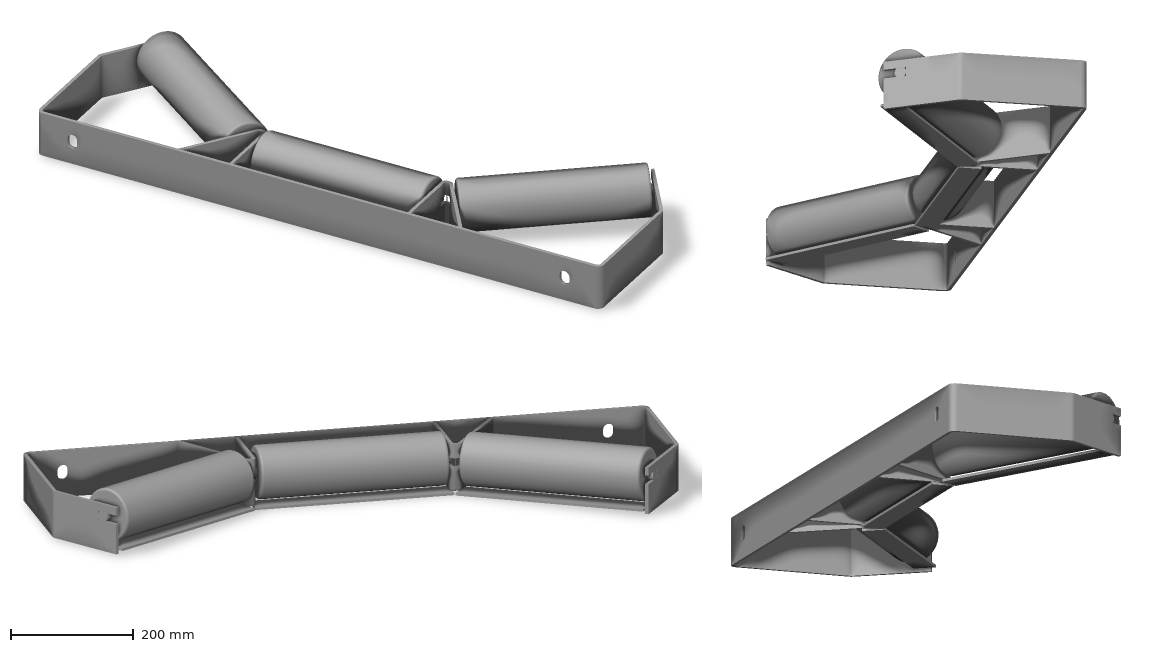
import cadquery as cq
import math


bar_thickness = 6.0
bar_height = 80.0
frame_length = 1050.0
frame_bend_radius = 12.0
wing_bend_y = 212.0
wing_length = 136.0
bracket_top_y = 127.0
bracket_bend_radius = 8.0

mount_slot_x = 458.0
mount_slot_z = 42.0
mount_slot_width = 18.0
mount_slot_length = 25.0

roller_diameter = 89.0
roller_length = 315.0
roller_edge_radius = 4.0
axle_diameter = 20.0
axle_flat_width = 15.0
axle_flat_clearance = 0.5
seat_gap = 325.0

trough_angle = 35.0
tilt_angle = 1.8
middle_axis_y = 99.0
middle_axis_z = 48.0
side_axis_y = 203.0

strip_thickness = 4.0
strip_width = 38.0
strip_inner_reach = 167.0
strip_outer_reach = 161.0

half_length = frame_length / 2
half_gap = seat_gap / 2
half_axle = half_gap + bar_thickness
trough_sin = math.sin(math.radians(trough_angle))
trough_cos = math.cos(math.radians(trough_angle))
tilt = math.radians(tilt_angle)

wing_outer_distance = half_length * trough_cos + wing_bend_y * trough_sin
side_axis_distance = wing_outer_distance - half_axle
slant_outer_distance = side_axis_distance - half_gap
slant_inner_distance = slant_outer_distance - bar_thickness

side_axis_x = -(side_axis_distance - side_axis_y * trough_sin) / trough_cos
side_axis_z = middle_axis_z / math.cos(tilt) + half_gap * math.tan(tilt)


def place_middle(body):
    return body.translate((0, middle_axis_y, middle_axis_z))


def place_left(body):
    tilted = body.rotate((0, 0, 0), (0, 1, 0), tilt_angle)
    troughed = tilted.rotate((0, 0, 0), (0, 0, 1), -trough_angle)
    return troughed.translate((side_axis_x, side_axis_y, side_axis_z))


def place_right(body):
    return place_left(body).mirror("YZ")


placements = [place_left, place_middle, place_right]


def fillet_bends(plate, points, radius):
    """Round the vertical edges of a plate that stand at the given XY points."""
    reach = bar_thickness / 4
    for x, y in points:
        corner = cq.selectors.BoxSelector((x - reach, y - reach, 0), (x + reach, y + reach, bar_height))
        plate = plate.edges("|Z").edges(corner).fillet(radius)
    return plate


def cut_axle_seats(plate):
    """Cut the open-topped slots that hold the flattened axle ends of all three rollers."""
    slot_width = 2 * bar_thickness
    slot = cq.Workplane("XY").box(slot_width, bar_height, axle_flat_width, centered=(True, False, True))
    slot = slot.translate((half_gap + bar_thickness / 2, -axle_diameter / 2, 0))
    for place in placements:
        plate = plate.cut(place(slot))
        plate = plate.cut(place(slot.mirror("YZ")))
    return plate


def make_frame():
    inner_radius = frame_bend_radius - bar_thickness
    wing_setback = bar_thickness * math.tan(math.radians(trough_angle / 2))
    tip_x = -half_length + wing_length * trough_sin
    tip_y = wing_bend_y + wing_length * trough_cos

    outer_corner = (-half_length, 0)
    outer_bend = (-half_length, wing_bend_y)
    outer_tip = (tip_x, tip_y)
    inner_tip = (tip_x + bar_thickness * trough_cos, tip_y - bar_thickness * trough_sin)
    inner_bend = (-half_length + bar_thickness, wing_bend_y - wing_setback)
    inner_corner = (-half_length + bar_thickness, bar_thickness)

    left_side = [outer_corner, outer_bend, outer_tip, inner_tip, inner_bend, inner_corner]
    right_side = [(-x, y) for x, y in reversed(left_side)]
    frame = cq.Workplane("XY").polyline(left_side + right_side).close().extrude(bar_height)

    for side in (1, -1):
        outer_bends = [(side * x, y) for x, y in (outer_corner, outer_bend)]
        inner_bends = [(side * x, y) for x, y in (inner_corner, inner_bend)]
        frame = fillet_bends(frame, outer_bends, frame_bend_radius)
        frame = fillet_bends(frame, inner_bends, inner_radius)

    mount_slots = (
        cq.Workplane("XZ")
        .pushPoints([(-mount_slot_x, mount_slot_z), (mount_slot_x, mount_slot_z)])
        .slot2D(mount_slot_length, mount_slot_width, 90)
        .extrude(-bar_thickness)
    )
    return cut_axle_seats(frame.cut(mount_slots))


def slanted_point(distance, y):
    """The point at height y on a slanted face that lies at this distance from the origin."""
    return (-(distance - y * trough_sin) / trough_cos, y)


def make_left_bracket():
    foot_y = bar_thickness
    under_top_y = bracket_top_y - bar_thickness
    outer_bends = [slanted_point(slant_outer_distance, bracket_top_y), (-half_gap, bracket_top_y)]
    inner_bends = [(-half_axle, under_top_y), slanted_point(slant_inner_distance, under_top_y)]
    outline = [
        slanted_point(slant_outer_distance, foot_y),
        *outer_bends,
        (-half_gap, foot_y),
        (-half_axle, foot_y),
        *inner_bends,
        slanted_point(slant_inner_distance, foot_y),
    ]
    bracket = cq.Workplane("XY").polyline(outline).close().extrude(bar_height)
    bracket = fillet_bends(bracket, outer_bends, bracket_bend_radius)
    bracket = fillet_bends(bracket, inner_bends, bracket_bend_radius - bar_thickness)
    return cut_axle_seats(bracket)


def centred_cylinder(diameter, length):
    return cq.Workplane("YZ").circle(diameter / 2).extrude(length / 2, both=True)


def make_roller():
    """A roller with its axle: round up to the plates, flattened where it sits in the slots."""
    shell = cq.Workplane("YZ").workplane(offset=-roller_length / 2)
    shell = shell.circle(roller_diameter / 2).extrude(roller_length)
    shell = shell.faces("<X or >X").edges().fillet(roller_edge_radius)
    round_axle = centred_cylinder(axle_diameter, 2 * (half_gap - axle_flat_clearance))
    flats = cq.Workplane("XY").box(2 * half_axle, axle_diameter, axle_flat_width)
    flattened_axle = centred_cylinder(axle_diameter, 2 * half_axle).intersect(flats)
    return shell.union(round_axle).union(flattened_axle)


def make_strip(outer_reach):
    """A strip from -outer_reach to strip_inner_reach along X, level with the bottom of the bar."""
    strip_length = outer_reach + strip_inner_reach
    strip = cq.Workplane("XY").box(strip_length, strip_width, strip_thickness, centered=False)
    return strip.translate((-outer_reach, 0, -middle_axis_z - strip_thickness))


frame = make_frame()
left_bracket = make_left_bracket()
brackets = [left_bracket, left_bracket.mirror("YZ")]
rollers = [place(make_roller()) for place in placements]
strip_reaches = [strip_outer_reach, strip_inner_reach, strip_outer_reach]
strips = [place(make_strip(reach)) for place, reach in zip(placements, strip_reaches)]

bodies = [frame, *brackets, *rollers, *strips]
result = cq.Compound.makeCompound([body.solids().val() for body in bodies])